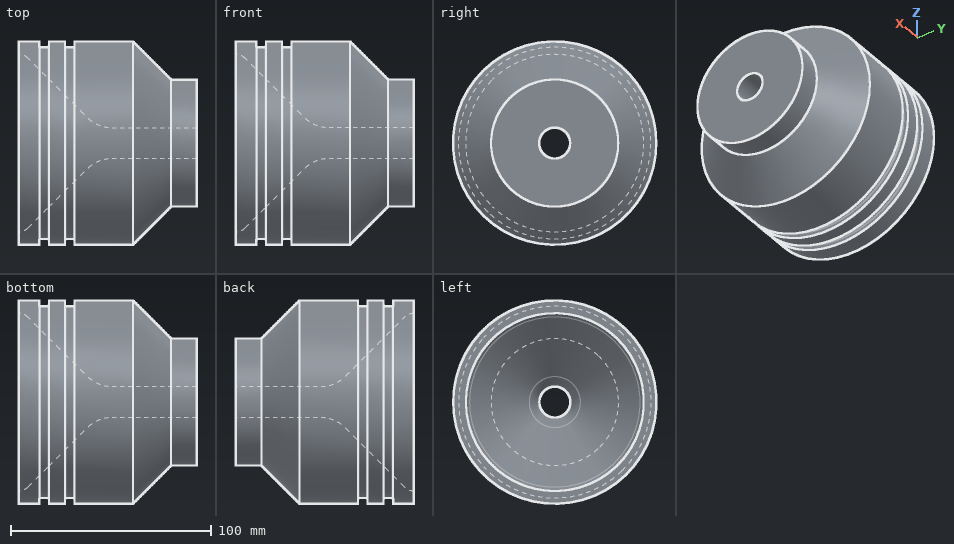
import cadquery as cq
import math

length = 88.9
body_diameter = 101.6
neck_diameter = 63.5
neck_length = 12.8

groove_diameter = 95.9
groove_width = 4.7
groove_starts = (10.4, 23.2)
groove_corner_radius = 0.4

mouth_diameter = 88.8
bore_diameter = 15.3
mouth_round = 6.4
throat_round = 17.3

body_radius = body_diameter / 2
neck_radius = neck_diameter / 2
mouth_radius = mouth_diameter / 2
bore_radius = bore_diameter / 2
neck_start = length - neck_length
shoulder_start = neck_start - (body_radius - neck_radius)


def revolve_about_x(profile):
    return profile.close().revolve(360, (0, 0, 0), (1, 0, 0))


def make_body():
    profile = (
        cq.Workplane("XY")
        .lineTo(0, body_radius)
        .lineTo(shoulder_start, body_radius)
        .lineTo(neck_start, neck_radius)
        .lineTo(length, neck_radius)
        .lineTo(length, 0)
    )
    return revolve_about_x(profile)


def make_groove_cutter(start):
    end = start + groove_width
    floor = groove_diameter / 2
    corner = groove_corner_radius
    profile = (
        cq.Workplane("XY")
        .moveTo(start, body_radius)
        .lineTo(start, floor + corner)
        .radiusArc((start + corner, floor), -corner)
        .lineTo(end - corner, floor)
        .radiusArc((end, floor + corner), -corner)
        .lineTo(end, body_radius)
    )
    return revolve_about_x(profile)


def make_funnel_cutter():
    sine = math.sin(math.radians(45))
    drop = 1 - math.cos(math.radians(45))
    cone_start = mouth_round * sine
    cone_start_radius = mouth_radius - mouth_round * drop
    cone_end_radius = bore_radius + throat_round * drop
    cone_end = cone_start + cone_start_radius - cone_end_radius
    bore_start = cone_end + throat_round * sine
    profile = (
        cq.Workplane("XY")
        .lineTo(0, mouth_radius)
        .radiusArc((cone_start, cone_start_radius), mouth_round)
        .lineTo(cone_end, cone_end_radius)
        .radiusArc((bore_start, bore_radius), -throat_round)
        .lineTo(length, bore_radius)
        .lineTo(length, 0)
    )
    return revolve_about_x(profile)


result = make_body().cut(make_funnel_cutter())
for groove_start in groove_starts:
    result = result.cut(make_groove_cutter(groove_start))